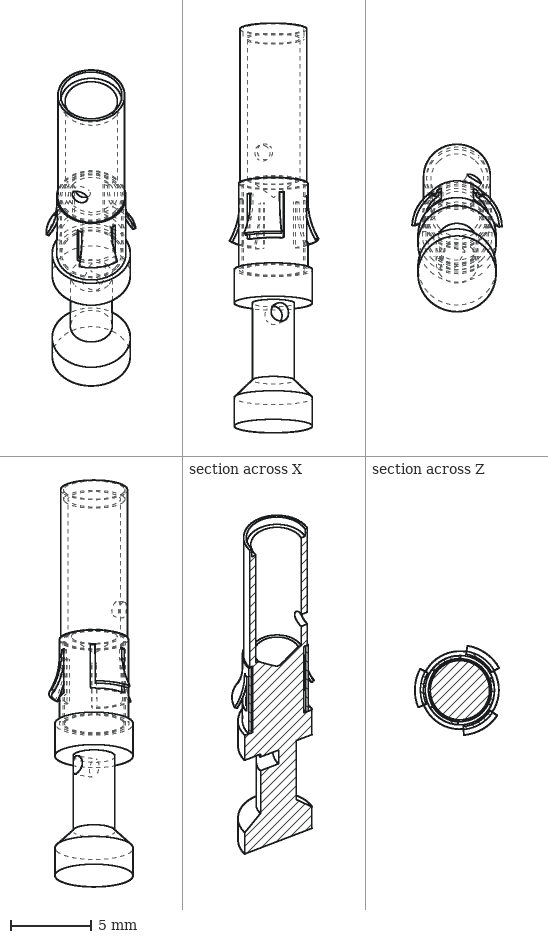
import cadquery as cq
import math

total_height = 25.2
collar_radius = 2.45
base_height = 1.81
cone_top = 2.92
shank_radius = 1.3
flange_bottom = 7.8
flange_top = 9.93
barrel_radius = 2.1

mouth_radius = 1.92
mouth_depth = 0.6
bore_radius = 1.65
bore_floor = 15.62
bore_cone_radius = 1.44
bore_cone_depth = 1.1

sight_hole_radius = 0.5
sight_hole_height = 17.7
vent_hole_radius = 0.58
vent_hole_height = 7.03

clip_radius = 2.17
clip_wall = 0.2
clip_top = 15.4
clip_inner_radius = clip_radius - clip_wall
groove_radius = 1.86

tongue_angles = (55.0, 177.0, -59.5)
window_half_angle = 33.7
window_bottom = 11.6
window_top = 14.5
window_corner_radius = 0.15
tongue_half_angle = 25.5
tongue_root = 14.31
tongue_tip = 11.87
tongue_tip_radius = 2.82


def cylinder(radius, bottom, top):
    return cq.Workplane("XY").workplane(offset=bottom).circle(radius).extrude(top - bottom)


def sector(center_angle, half_angle, bottom, top):
    """Wedge about the Z axis that reaches past the tongue tips."""
    reach = 2 * tongue_tip_radius
    start = math.radians(center_angle - half_angle)
    end = math.radians(center_angle + half_angle)
    return (
        cq.Workplane("XY").workplane(offset=bottom)
        .lineTo(reach * math.cos(start), reach * math.sin(start))
        .lineTo(reach * math.cos(end), reach * math.sin(end))
        .close()
        .extrude(top - bottom)
    )


def make_contact():
    body = (
        cq.Workplane("XZ")
        .lineTo(collar_radius, 0)
        .lineTo(collar_radius, base_height)
        .lineTo(shank_radius, cone_top)
        .lineTo(shank_radius, flange_bottom)
        .lineTo(collar_radius, flange_bottom)
        .lineTo(collar_radius, flange_top)
        .lineTo(groove_radius, flange_top)
        .lineTo(groove_radius, clip_top)
        .lineTo(barrel_radius, clip_top)
        .lineTo(barrel_radius, total_height)
        .lineTo(0, total_height)
        .close()
        .revolve(360, (0, 0), (0, 1))
    )
    bore = (
        cq.Workplane("XZ")
        .moveTo(0, bore_floor - bore_cone_depth)
        .lineTo(bore_cone_radius, bore_floor)
        .lineTo(bore_radius, bore_floor)
        .lineTo(bore_radius, total_height - mouth_depth)
        .lineTo(mouth_radius, total_height - mouth_depth)
        .lineTo(mouth_radius, total_height)
        .lineTo(0, total_height)
        .close()
        .revolve(360, (0, 0), (0, 1))
    )
    sight_hole = (
        cq.Workplane("XZ").center(0, sight_hole_height)
        .circle(sight_hole_radius).extrude(collar_radius)
    )
    vent_hole = (
        cq.Workplane("XZ").center(0, vent_hole_height)
        .circle(vent_hole_radius).extrude(-collar_radius)
    )
    return body.cut(bore).cut(sight_hole).cut(vent_hole)


def make_flare():
    """Full ring bent outward along two concentric arcs, vertical at the root."""
    outward = tongue_tip_radius - clip_radius
    drop = tongue_root - tongue_tip
    bend_radius = (outward**2 + drop**2) / (2 * outward)
    bend_angle = math.asin(drop / bend_radius)
    bend_center = clip_radius + bend_radius

    def bend_point(radius, angle):
        return (bend_center - radius * math.cos(angle), tongue_root - radius * math.sin(angle))

    inner_bend = bend_radius + clip_wall
    return (
        cq.Workplane("XZ")
        .moveTo(clip_inner_radius, window_top)
        .lineTo(clip_radius, window_top)
        .lineTo(clip_radius, tongue_root)
        .threePointArc(bend_point(bend_radius, bend_angle / 2), bend_point(bend_radius, bend_angle))
        .lineTo(*bend_point(inner_bend, bend_angle))
        .threePointArc(bend_point(inner_bend, bend_angle / 2), (clip_inner_radius, tongue_root))
        .close()
        .revolve(360, (0, 0), (0, 1))
    )


def make_clip():
    sleeve = cylinder(clip_radius, flange_top, clip_top)
    sleeve = sleeve.cut(cylinder(clip_inner_radius, flange_top, clip_top))
    flare = make_flare()
    clip = sleeve
    for angle in tongue_angles:
        window = sleeve.intersect(sector(angle, window_half_angle, window_bottom, window_top))
        window = window.faces("<Z").edges("%LINE").fillet(window_corner_radius)
        tongue = flare.intersect(sector(angle, tongue_half_angle, window_bottom, window_top))
        clip = clip.cut(window).union(tongue)
    return clip


contact = make_contact()
clip = make_clip()
result = cq.Compound.makeCompound([contact.val(), *clip.solids().vals()])